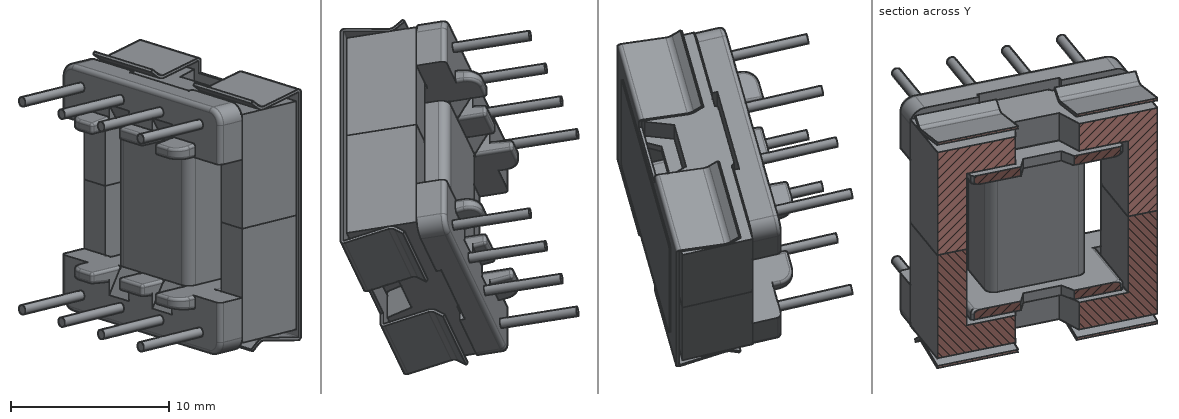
import cadquery as cq
import math


core_width = 15.0
core_half_width = core_width / 2
core_half_height = core_half_width
core_rear = 4.57
window_half_width = 5.5
window_half_height = 5.5
center_leg_half_width = 2.65
center_leg_front_half_width = 2.03
center_leg_front = -0.2
center_leg_rear = 2.2
center_leg_chamfer_depth = 0.76
core_notch_floor = 2.8
core_notch_floor_half_width = 1.5
core_notch_rear_half_width = 2.18

bore_half_width = 2.79
bore_front_half_width = 2.25
bore_front = -0.33
bore_rear = 2.33
bore_chamfer_depth = 0.68
tube_half_width = 3.38
tube_front = -0.92
tube_wall = bore_front - tube_front
tube_rear = bore_rear + tube_wall
tube_corner_radius = 0.63

flange_inner = 4.54
flange_outer = 5.23
flange_half_width = 5.18
flange_notch_floor = 3.68
flange_notch_floor_half_width = 1.3
flange_notch_rear_half_width = 1.95
flange_corner_width = 0.5
flange_corner_depth = 0.38
flange_edge_radius = 0.28

block_half_width = core_half_width
block_outer = 8.12
block_front = -1.91
block_corner_radius = 0.99
block_edge_radius = 0.31

ramp_inner_x = 1.12
ramp_outer_x = 2.97
ramp_top = 6.25

peg_edge_radius = 0.2
peg_root_thickness = 0.9
peg_taper = 0.12
middle_peg_length = 0.87
side_peg_length = 1.48
side_peg_outer_x = 5.18
side_peg_corner_radius = 0.99

pin_diameter = 0.63
pin_tip = -6.91
pin_pitch = 3.75
pins_per_row = 4
pin_row_height = 6.83

sheet = 0.2
clip_rear = 4.98
clip_front = clip_rear - sheet
clip_top = 8.25
clip_half_width = core_half_width
clip_slot_half_width = 2.0
clip_slot_floor = 7.25
rear_bend_radius = 0.25
contact_bend_radius = 0.71
contact_bend_y = 1.75
lip_angle = math.radians(38)
lip_length = 0.7
pad_width = 12.21
pad_height = 12.4
pad_thickness = 0.1
pad_corner_radius = 0.3


def span_box(x_range, y_range, z_range):
    """Box between two limits on each axis."""
    ranges = (x_range, y_range, z_range)
    size = [high - low for low, high in ranges]
    return cq.Workplane("XY").box(*size, centered=False).translate([low for low, high in ranges])


def prism(points, z_low, z_high):
    """Outline in X and Y, extruded between two heights."""
    return cq.Workplane("XY").workplane(offset=z_low).polyline(points).close().extrude(z_high - z_low)


def chamfered_section(half_width, face_half_width, front, rear, chamfer_depth):
    """Rectangle with cut corners, shared by the centre leg and the bobbin bore."""
    right = [
        (face_half_width, front),
        (half_width, front + chamfer_depth),
        (half_width, rear - chamfer_depth),
        (face_half_width, rear),
    ]
    left = [(-x, y) for x, y in reversed(right)]
    return right + left


def rear_notch(floor, rear, floor_half_width, rear_half_width, z_low, z_high):
    """Trapezoidal cutter that opens toward the rear."""
    points = [
        (-floor_half_width, floor),
        (floor_half_width, floor),
        (rear_half_width, rear),
        (-rear_half_width, rear),
    ]
    return prism(points, z_low, z_high)


def mirrored(shape):
    return shape.mirror("XY")


def make_core_half():
    """Upper E-shaped core half; its centre leg stands proud of the front face."""
    body = span_box((-core_half_width, core_half_width), (0, core_rear), (0, core_half_height))
    window = span_box((-window_half_width, window_half_width), (0, core_rear), (0, window_half_height))
    leg_section = chamfered_section(
        center_leg_half_width, center_leg_front_half_width,
        center_leg_front, center_leg_rear, center_leg_chamfer_depth,
    )
    center_leg = prism(leg_section, 0, core_half_height)
    notch = rear_notch(
        core_notch_floor, core_rear, core_notch_floor_half_width, core_notch_rear_half_width,
        window_half_height, core_half_height,
    )
    return body.cut(window).union(center_leg).cut(notch)


def make_tube():
    """Winding tube between the two flanges."""
    tube = span_box(
        (-tube_half_width, tube_half_width), (tube_front, tube_rear), (-flange_inner, flange_inner),
    )
    return tube.edges("|Z").fillet(tube_corner_radius)


def make_flange():
    """Flange plate inside the core window, notched at the rear."""
    corner_x = flange_half_width - flange_corner_width
    corner_y = clip_front - flange_corner_depth
    outline = [
        (-flange_half_width, tube_front),
        (flange_half_width, tube_front),
        (flange_half_width, corner_y),
        (corner_x, clip_front),
        (-corner_x, clip_front),
        (-flange_half_width, corner_y),
    ]
    notch = rear_notch(
        flange_notch_floor, clip_front, flange_notch_floor_half_width, flange_notch_rear_half_width,
        flange_inner, flange_outer,
    )
    plate = prism(outline, flange_inner, flange_outer)
    side_edges = plate.faces("<Z").edges("not (<Y or >Y)")
    return side_edges.fillet(flange_edge_radius).cut(notch)


def make_pin_block():
    """Block in front of the core, with a slot that clears the proud centre leg."""
    block = span_box(
        (-block_half_width, block_half_width), (block_front, 0), (flange_inner, block_outer),
    )
    block = block.edges("|Y and >Z").fillet(block_corner_radius)
    block = block.faces("<Y").edges("not <Z").fillet(block_edge_radius)
    slot = span_box((-bore_half_width, bore_half_width), (bore_front, 0), (flange_outer, block_outer))
    return block.cut(slot)


def make_ramp(side):
    """Wire-exit cutter sloping from the tube face to the front of the block."""
    profile = [(tube_front, flange_inner), (block_front, flange_inner), (block_front, ramp_top)]
    ramp = cq.Workplane("YZ").polyline(profile).close().extrude(ramp_outer_x - ramp_inner_x)
    ramp = ramp.translate((ramp_inner_x, 0, 0))
    relief = span_box(
        (ramp_inner_x - peg_edge_radius, ramp_outer_x + peg_edge_radius),
        (block_front, tube_front),
        (flange_inner, flange_inner + peg_edge_radius),
    )
    keep = span_box(
        (ramp_inner_x, ramp_outer_x), (block_front, tube_front), (flange_inner, ramp_top),
    )
    ramp = ramp.union(relief.cut(keep))
    return ramp if side > 0 else ramp.mirror("YZ")


def make_peg(x_low, x_high, length):
    """Tapered peg, flush with the winding side, rooted level with the tube face."""
    tip = block_front - length
    root_taper = peg_taper * (tube_front - block_front)
    profile = [
        (tube_front, flange_inner),
        (tube_front, flange_inner + peg_root_thickness + root_taper),
        (tip, flange_inner + peg_root_thickness - peg_taper * length),
        (tip, flange_inner),
    ]
    return cq.Workplane("YZ").polyline(profile).close().extrude(x_high - x_low).translate((x_low, 0, 0))


def make_middle_peg():
    peg = make_peg(-ramp_inner_x, ramp_inner_x, middle_peg_length)
    return peg.edges("not >Y").fillet(peg_edge_radius)


def make_side_peg(side):
    peg = make_peg(ramp_outer_x, side_peg_outer_x, side_peg_length)
    peg = peg.faces("<Y").edges(">X").fillet(side_peg_corner_radius)
    peg = peg.edges("not >Y").fillet(peg_edge_radius)
    return peg if side > 0 else peg.mirror("YZ")


def make_pins():
    """Row of round pins along X."""
    return (
        cq.Workplane("XZ", origin=(0, block_front, pin_row_height))
        .rarray(pin_pitch, 0.16, pins_per_row, 1)
        .circle(pin_diameter / 2)
        .extrude(block_front - pin_tip)
    )


def make_bobbin_end():
    """Everything at the upper end of the bobbin."""
    end = make_flange().union(make_pin_block())
    for side in (-1, 1):
        end = end.cut(make_ramp(side))
    for side in (-1, 1):
        end = end.union(make_side_peg(side))
    return end.union(make_middle_peg()).union(make_pins())


def make_bobbin():
    end = make_bobbin_end()
    bore_section = chamfered_section(
        bore_half_width, bore_front_half_width, bore_front, bore_rear, bore_chamfer_depth,
    )
    bore = prism(bore_section, -flange_outer, flange_outer)
    return make_tube().union(end).union(mirrored(end)).cut(bore)


def on_bend(center, radius, angle):
    """Point in Y and Z on a bend; the angle runs from +Y toward +Z."""
    return (center[0] + radius * math.cos(angle), center[1] + radius * math.sin(angle))


def make_clip_profile():
    """Upper half of the bent sheet, in Y and Z: back plate, arm, contact bend and lip."""
    rear_inner = rear_bend_radius - sheet
    contact_inner = contact_bend_radius - sheet
    rear_center = (clip_rear - rear_bend_radius, clip_top - rear_bend_radius)
    contact_center = (contact_bend_y, core_half_height + contact_bend_radius)

    run = rear_center[0] - contact_center[0]
    rise = contact_center[1] - rear_center[1]
    tangent_distance = rear_inner + contact_bend_radius
    arm_slope = math.asin(tangent_distance / math.hypot(run, rise)) - math.atan2(rise, run)

    rear_end = math.pi / 2 + arm_slope
    contact_start = rear_end - math.pi
    contact_end = -math.pi / 2 - lip_angle
    contact_middle = (contact_start + contact_end) / 2
    lip_y = -lip_length * math.cos(lip_angle)
    lip_z = lip_length * math.sin(lip_angle)

    def lip_tip(radius):
        start_y, start_z = on_bend(contact_center, radius, contact_end)
        return (start_y + lip_y, start_z + lip_z)

    return (
        cq.Workplane("YZ")
        .moveTo(clip_rear, 0)
        .lineTo(*on_bend(rear_center, rear_bend_radius, 0))
        .threePointArc(
            on_bend(rear_center, rear_bend_radius, rear_end / 2),
            on_bend(rear_center, rear_bend_radius, rear_end),
        )
        .lineTo(*on_bend(contact_center, contact_inner, contact_start))
        .threePointArc(
            on_bend(contact_center, contact_inner, contact_middle),
            on_bend(contact_center, contact_inner, contact_end),
        )
        .lineTo(*lip_tip(contact_inner))
        .lineTo(*lip_tip(contact_bend_radius))
        .lineTo(*on_bend(contact_center, contact_bend_radius, contact_end))
        .threePointArc(
            on_bend(contact_center, contact_bend_radius, contact_middle),
            on_bend(contact_center, contact_bend_radius, contact_start),
        )
        .lineTo(*on_bend(rear_center, rear_inner, rear_end))
        .threePointArc(
            on_bend(rear_center, rear_inner, rear_end / 2),
            on_bend(rear_center, rear_inner, 0),
        )
        .lineTo(clip_front, 0)
        .close()
    )


def make_clip():
    """Spring clip: one bent sheet with split arms and a raised pad on its back."""
    half = make_clip_profile().extrude(clip_half_width, both=True)
    slot = span_box(
        (-clip_slot_half_width, clip_slot_half_width), (0, clip_rear), (clip_slot_floor, clip_top),
    )
    half = half.cut(slot)
    pad = span_box(
        (-pad_width / 2, pad_width / 2),
        (clip_rear, clip_rear + pad_thickness),
        (-pad_height / 2, pad_height / 2),
    )
    pad = pad.edges("|Y").fillet(pad_corner_radius)
    return half.union(mirrored(half)).union(pad)


upper_core = make_core_half()
lower_core = mirrored(upper_core)
bobbin = make_bobbin()
clip = make_clip()

result = cq.Compound.makeCompound([upper_core.val(), lower_core.val(), bobbin.val(), clip.val()])